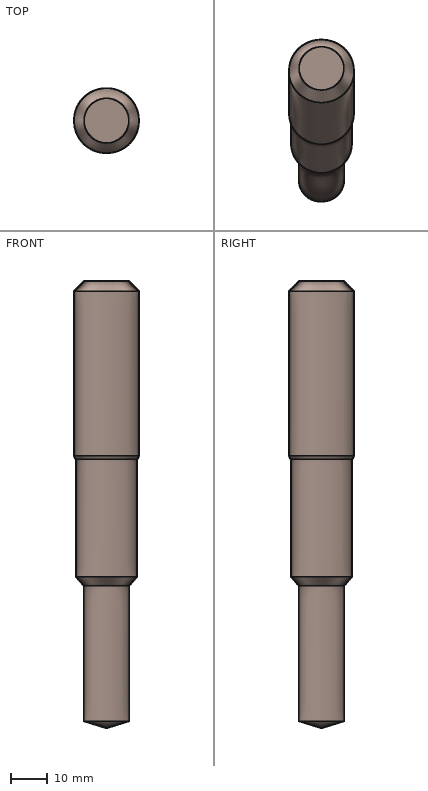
import cadquery as cq

total_length = 123.0

head_radius = 18.0 / 2
neck_radius = 16.9 / 2
head_bottom_z = 73.9
head_top_chamfer = 2.8
steep_bevel_width = 0.35
steep_bevel_height = 0.7
shallow_bevel_height = 0.2
neck_bottom_z = 39.2
neck_taper_height = 2.5

pin_radius = 6.3
point_height = 2.0


def revolve_profile(points):
    """Revolve a closed outline of (radius, height) points about the Z axis."""
    return cq.Workplane("XZ").polyline(points).close().revolve(360, (0, 0), (0, 1))


def make_holder():
    """Stepped holder whose neck tapers down to the pin at its flat lower end."""
    return revolve_profile([
        (0, neck_bottom_z),
        (pin_radius, neck_bottom_z),
        (neck_radius, neck_bottom_z + neck_taper_height),
        (neck_radius, head_bottom_z),
        (head_radius - steep_bevel_width, head_bottom_z + shallow_bevel_height),
        (head_radius, head_bottom_z + shallow_bevel_height + steep_bevel_height),
        (head_radius, total_length - head_top_chamfer),
        (head_radius - head_top_chamfer, total_length),
        (0, total_length),
    ])


def make_pin():
    """Pin that butts against the lower end of the holder and ends in a point."""
    return revolve_profile([
        (0, 0),
        (pin_radius, point_height),
        (pin_radius, neck_bottom_z),
        (0, neck_bottom_z),
    ])


holder = make_holder()
pin = make_pin()

result = cq.Compound.makeCompound([holder.val(), pin.val()])